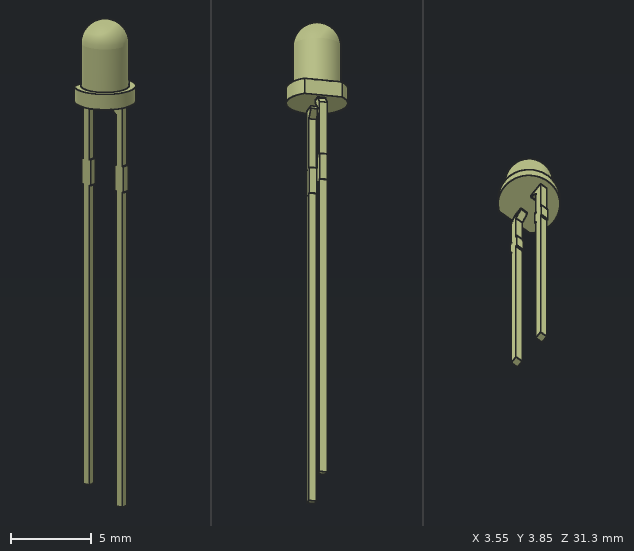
import cadquery as cq

total_height = 31.3

lens_radius = 1.5
lens_height = 5.3
flange_diameter = 3.85
flange_radius = flange_diameter / 2
flange_thickness = 1.0
flat_x = -lens_radius

lead_width = 0.5
lead_pitch = 2.55
lead_offset = lead_pitch / 2
stop_width = 0.7
stop_top = -3.9
stop_bottom = -5.6
long_lead_end = lens_height - total_height
lead_length_difference = 1.0
short_lead_end = long_lead_end + lead_length_difference

neck_inner_x = 0.5
neck_outer_x = 1.13
neck_inner_drop = 0.15
outer_x = lead_offset + lead_width / 2
inner_x = lead_offset - lead_width / 2
inner_bend_z = -neck_inner_drop - (inner_x - neck_inner_x)
neck_outer_drop = 0.05
outer_bend_z = -neck_outer_drop - (outer_x - neck_outer_x)


def make_lens_and_flange():
    """Cylinder with a hemispherical end, standing on a flange with one flat."""
    dome_base = lens_height - lens_radius
    cylinder = cq.Workplane("XY").circle(lens_radius).extrude(dome_base)
    dome = cq.Workplane("XY").sphere(lens_radius).translate((0, 0, dome_base))
    flange = cq.Workplane("XY").circle(flange_radius).extrude(flange_thickness)
    flat_keeper = cq.Workplane("XY").box(
        flange_radius - flat_x, 2 * flange_radius, flange_thickness, centered=(False, True, False)
    ).translate((flat_x, 0, 0))
    return cylinder.union(dome).union(flange.intersect(flat_keeper))


def make_lead(top_outline, end_z):
    """Lead on the +X side: shaped top, straight shank and a wider stop."""
    outline = top_outline + [(inner_x, end_z), (outer_x, end_z)]
    shank = cq.Workplane("XZ").polyline(outline).close().extrude(lead_width / 2, both=True)
    stop = (
        cq.Workplane("XY", origin=(lead_offset, 0, stop_bottom))
        .rect(stop_width, lead_width)
        .extrude(stop_top - stop_bottom)
    )
    return shank.union(stop)


inner_edge = [(neck_inner_x, 0), (neck_inner_x, -neck_inner_drop), (inner_x, inner_bend_z)]
cranked_top = [(outer_x, outer_bend_z), (neck_outer_x, -neck_outer_drop), (neck_outer_x, 0)] + inner_edge
gusset_top = [(outer_x, 0)] + inner_edge

long_lead = make_lead(gusset_top, long_lead_end)
short_lead = make_lead(cranked_top, short_lead_end).mirror("YZ")

result = make_lens_and_flange().union(long_lead).union(short_lead)